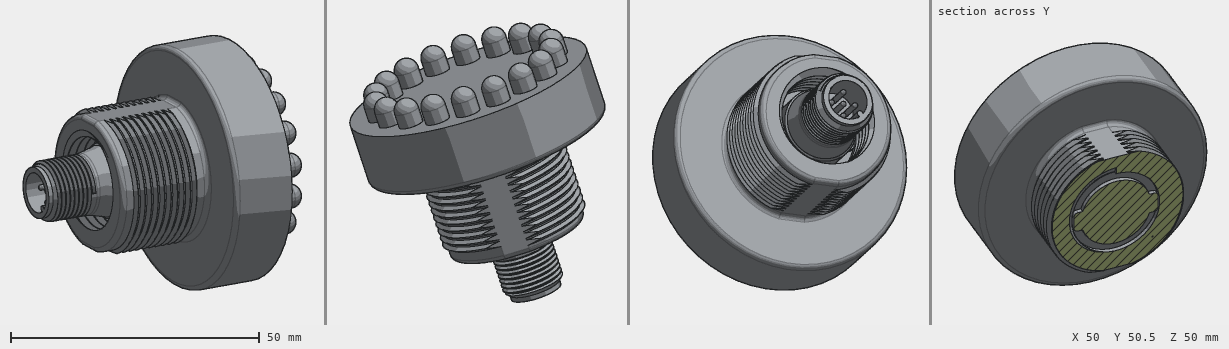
import cadquery as cq


FLANGE_RADIUS = 25.0
FLANGE_THICKNESS = 13.05
FLANGE_FILLET = 1.0
DOME_COUNT = 18
DOME_RADIUS = 2.5
DOME_SHANK_LENGTH = 3.0
DOME_CIRCLE_RADIUS = 18.75

STEM_LENGTH = 20.0
STEM_RADIUS = 14.05
STEM_FLAT_DISTANCE = 13.8
STEM_FILLET = 1.0
STEM_THREAD_PITCH = 1.5
STEM_THREAD_TURNS = 10.5
STEM_THREAD_START = 2.15
STEM_THREAD_START_ANGLE = 90.0
STEM_THREAD_CREST_RADIUS = 14.9
STEM_THREAD_BASE_WIDTH = 1.3

BORE_RADIUS = 9.5
BORE_DEPTH = 10.0
BORE_THREAD_PITCH = 1.814
BORE_THREAD_ROOT_RADIUS = 11.05
BORE_THREAD_WIDTH = 1.78
BORE_THREAD_TURNS_INSIDE = 5
BORE_THREAD_TURNS_OUTSIDE = 1
BORE_THREAD_EXIT_ANGLE = 90.0

PLUG_LENGTH = 12.0
PLUG_FOOT_RADIUS = 7.7
PLUG_CONE_RADIUS = 7.3
PLUG_COLLAR_RADIUS = 6.33
PLUG_THREAD_RADIUS = 6.25
PLUG_TIP_RADIUS = 5.25
PLUG_CONE_START = 16.8
PLUG_COLLAR_START = 20.75
PLUG_THREAD_LAND_START = 21.4
PLUG_TIP_LENGTH = 1.0
PLUG_THREAD_PITCH = 1.0
PLUG_THREAD_ROOT_RADIUS = 5.56
PLUG_THREAD_WIDTH = 0.92
PLUG_THREAD_START = 22.1
PLUG_THREAD_TURNS = 8.45

TAB_REACH = 9.25
TAB_WIDTH = 4.7
TAB_HEIGHT = 1.0
TAB_FILLET = 0.9

SOCKET_RADIUS = 4.1
SOCKET_DEPTH = 8.0
PIN_RADIUS = 0.55
PIN_CIRCLE_RADIUS = 2.5
OUTER_PIN_COUNT = 4
PIN_TIP_FILLET = 0.35
PIN_RECESS = 2.2
KEY_WIDTH = 1.2
KEY_INNER_RADIUS = 3.1
KEY_FILLET = 0.55
KEY_ANGLE = -45.0

OVERLAP = 0.1

BORE_FLOOR = STEM_LENGTH - BORE_DEPTH
PLUG_END = STEM_LENGTH + PLUG_LENGTH
SOCKET_FLOOR = PLUG_END - SOCKET_DEPTH


def cylinder(radius, start, length):
    return cq.Workplane("XY").workplane(offset=start).circle(radius).extrude(length)


def thread_body(pitch, turns, start, start_angle, base_radius, apex_radius, width):
    """Right-hand helical body of triangular section, based at one radius and pointing to another."""
    helix = cq.Wire.makeHelix(pitch, pitch * turns, base_radius)
    profile = cq.Workplane("XZ").polyline([
        (base_radius, -width / 2),
        (apex_radius, 0),
        (base_radius, width / 2),
    ]).close()
    body = profile.sweep(cq.Workplane(helix), isFrenet=True)
    return body.rotate((0, 0, 0), (0, 0, 1), start_angle).translate((0, 0, start))


def make_flange():
    flange = cylinder(FLANGE_RADIUS, -FLANGE_THICKNESS, FLANGE_THICKNESS)
    return flange.faces(">Z").edges().fillet(FLANGE_FILLET)


def make_dome():
    """Round post with a hemispherical end, reaching away from the rear of the flange."""
    rear = -FLANGE_THICKNESS
    shoulder = rear - DOME_SHANK_LENGTH
    outline = (
        cq.Workplane("XZ")
        .moveTo(0, rear + OVERLAP)
        .lineTo(DOME_RADIUS, rear + OVERLAP)
        .lineTo(DOME_RADIUS, shoulder)
        .radiusArc((0, shoulder - DOME_RADIUS), DOME_RADIUS)
        .close()
    )
    return outline.revolve(360, (0, 0, 0), (0, 1, 0)).translate((DOME_CIRCLE_RADIUS, 0, 0))


def add_domes(body):
    dome = make_dome()
    for index in range(DOME_COUNT):
        angle = 90 + index * 360 / DOME_COUNT
        body = body.union(dome.rotate((0, 0, 0), (0, 0, 1), angle))
    return body


def flat_slab(start, length):
    """Slab between the two parallel flats of the stem."""
    slab = cq.Workplane("XY").workplane(offset=start)
    return slab.rect(2 * FLANGE_RADIUS, 2 * STEM_FLAT_DISTANCE).extrude(length)


def make_stem_thread():
    return thread_body(
        STEM_THREAD_PITCH, STEM_THREAD_TURNS, STEM_THREAD_START, STEM_THREAD_START_ANGLE,
        STEM_RADIUS - OVERLAP, STEM_THREAD_CREST_RADIUS, STEM_THREAD_BASE_WIDTH,
    )


def add_stem(body):
    """Threaded stem with its flats cut through the thread, rounded at the end and at the foot."""
    stem = cylinder(STEM_RADIUS, -OVERLAP, STEM_LENGTH + OVERLAP).union(make_stem_thread())
    stem = stem.intersect(flat_slab(-OVERLAP, STEM_LENGTH + OVERLAP))
    stem = stem.faces(">Z").edges().fillet(STEM_FILLET)
    body = body.union(stem)
    foot_reach = STEM_RADIUS + OVERLAP
    foot_edges = cq.selectors.BoxSelector(
        (-foot_reach, -foot_reach, -OVERLAP / 2), (foot_reach, foot_reach, OVERLAP / 2), boundingbox=True
    )
    return body.edges(foot_edges).fillet(STEM_FILLET)


def cut_bore(body):
    body = body.cut(cylinder(BORE_RADIUS, BORE_FLOOR, BORE_DEPTH))
    groove = thread_body(
        BORE_THREAD_PITCH, BORE_THREAD_TURNS_INSIDE + BORE_THREAD_TURNS_OUTSIDE,
        STEM_LENGTH - BORE_THREAD_TURNS_INSIDE * BORE_THREAD_PITCH, BORE_THREAD_EXIT_ANGLE,
        BORE_RADIUS - OVERLAP, BORE_THREAD_ROOT_RADIUS, BORE_THREAD_WIDTH,
    )
    return body.cut(groove)


def make_tabs():
    tabs = cq.Workplane("XY").workplane(offset=BORE_FLOOR - OVERLAP)
    tabs = tabs.rect(2 * TAB_REACH, TAB_WIDTH).extrude(TAB_HEIGHT + OVERLAP)
    return tabs.edges("|Z").fillet(TAB_FILLET)


def make_plug():
    """Turned plug: foot, long cone, collar and threaded end with a chamfered tip."""
    tip_start = PLUG_END - PLUG_TIP_LENGTH
    tip_chamfer = PLUG_THREAD_RADIUS - PLUG_TIP_RADIUS
    foot_end = PLUG_CONE_START - (PLUG_FOOT_RADIUS - PLUG_CONE_RADIUS)
    plug = cq.Workplane("XZ").polyline([
        (0, BORE_FLOOR - OVERLAP),
        (PLUG_FOOT_RADIUS, BORE_FLOOR - OVERLAP),
        (PLUG_FOOT_RADIUS, foot_end),
        (PLUG_CONE_RADIUS, PLUG_CONE_START),
        (PLUG_COLLAR_RADIUS, PLUG_COLLAR_START),
        (PLUG_THREAD_RADIUS, PLUG_THREAD_LAND_START),
        (PLUG_THREAD_RADIUS, tip_start - tip_chamfer),
        (PLUG_TIP_RADIUS, tip_start),
        (PLUG_TIP_RADIUS, PLUG_END),
        (0, PLUG_END),
    ]).close().revolve(360, (0, 0, 0), (0, 1, 0))
    groove = thread_body(
        PLUG_THREAD_PITCH, PLUG_THREAD_TURNS, PLUG_THREAD_START, 0,
        PLUG_THREAD_RADIUS + OVERLAP, PLUG_THREAD_ROOT_RADIUS, PLUG_THREAD_WIDTH,
    )
    return plug.cut(groove)


def make_pins():
    """One pin on the axis and a ring of pins around it, standing on the socket floor."""
    length = SOCKET_DEPTH - PIN_RECESS + OVERLAP
    pin = cylinder(PIN_RADIUS, SOCKET_FLOOR - OVERLAP, length)
    pin = pin.faces(">Z").edges().fillet(PIN_TIP_FILLET)
    pins = pin
    outer_pin = pin.translate((PIN_CIRCLE_RADIUS, 0, 0))
    for index in range(OUTER_PIN_COUNT):
        angle = index * 360 / OUTER_PIN_COUNT
        pins = pins.union(outer_pin.rotate((0, 0, 0), (0, 0, 1), angle))
    return pins


def make_key():
    """Rib along the socket wall."""
    inner = KEY_INNER_RADIUS
    outer = SOCKET_RADIUS + OVERLAP
    key = (
        cq.Workplane("XY")
        .workplane(offset=SOCKET_FLOOR - OVERLAP)
        .center((inner + outer) / 2, 0)
        .rect(outer - inner, KEY_WIDTH)
        .extrude(SOCKET_DEPTH + OVERLAP)
    )
    key = key.edges("|Z and <X").fillet(KEY_FILLET)
    return key.rotate((0, 0, 0), (0, 0, 1), KEY_ANGLE)


def add_plug(body):
    plug = make_plug().cut(cylinder(SOCKET_RADIUS, SOCKET_FLOOR, SOCKET_DEPTH))
    plug = plug.union(make_pins()).union(make_key())
    return body.union(make_tabs()).union(plug)


body = add_domes(make_flange())
body = add_stem(body)
body = cut_bore(body)
body = add_plug(body)
result = body.rotate((0, 0, 0), (1, 0, 0), 90)